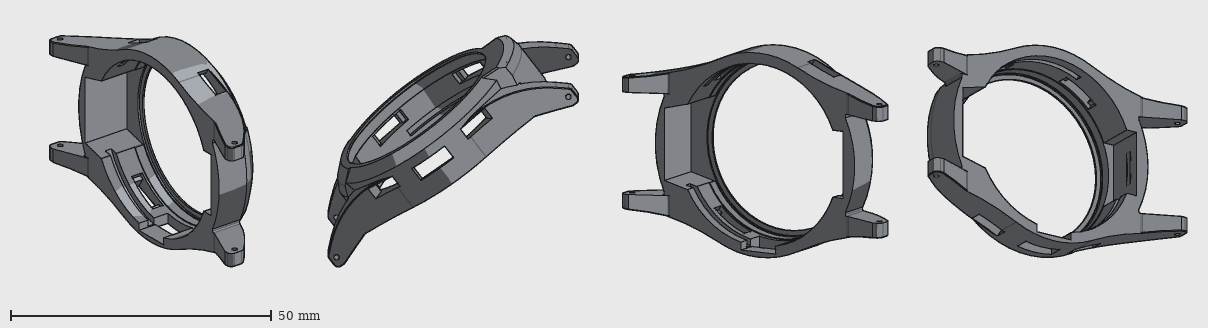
import cadquery as cq
import math


length = 58
half_length = length / 2
case_radius = 20.0
case_height = 10.85
lug_drop = 2.95

bezel_top_radius = 17.65
bezel_base_y = 8.95

flank_tangent_x = 8.7
tip_half_width = 12.9

lug_inner_z = 10.0
lug_crest_x = 11.3
lug_crest_y = 8.0
lug_arc_radius = 23.2
lug_arc_end_x = 26.8
lug_kink_x = 20.0
lug_foot_inner_x = 27.2
lug_kink_fillet = 0.85
lug_tip_fillet = 1.05
lug_foot_fillet = 1.0
lug_edge_chamfer = 0.2
corner_height = 0.7
corner_fillet = 0.3
pin_hole_radius = 0.5
pin_hole_x = 27.6
pin_hole_y = -0.9

left_radius = 23.0
left_bend_y = 8.05
left_shoulder_radius = 22.6
left_shoulder_y = 10.0
left_top_radius = 20.8
left_axis_half_z = 10.55
left_tip_half_z = 12.9
left_side_top_y = 10.55
left_side_narrowing = 3.2
left_top_narrowing = 3.65
right_radius = 21.5
right_bend_y = 6.65
right_shoulder_radius = 20.5
right_shoulder_y = 8.5
right_top_radius = 18
right_axis_half_z = 18
right_tip_half_z = 6.05
right_side_start_y = 5.8
right_top_narrowing = 3.4

bore_radius = 17.85
bore_depth = 8.0
seat_radius = 17.7
seat_depth = 10.05
lip_radius = 17.45
lip_depth = 10.45
opening_radius = 16.55

left_pocket_x = 20.95
left_pocket_outer_z = 7.1
left_pocket_inner_x = 15.95
left_pocket_inner_z = 8.35
right_pocket_x = 18.85
right_pocket_half_z = 6.55
bottom_pocket_half_x = 3.9
bottom_pocket_z = 18.95
bottom_window_start_y = 4.0
bottom_window_end_y = 6.95

window_start_y = 5.05
window_end_y = 7.55
window_angle = 57.2
window_width = 6.15
window_inner_x = 15.65
window_outer_x = 23.2
recess_width = 7.95
recess_outer_x = 18.45

groove_radius = 19.15
groove_start_y = 2.2
groove_end_y = 3.6
groove_count = 3
groove_span = 74
groove_middle_angle = -18


def plan(y):
    """Workplane parallel to the back face at height y, with local axes X and Z."""
    return cq.Workplane("XZ", origin=(0, y, 0))


def disc(radius, start_y, end_y):
    return plan(start_y).circle(radius).extrude(start_y - end_y)


def both_sides(shape, plane):
    return shape.union(shape.mirror(plane))


def revolved(profile):
    return cq.Workplane("XY").polyline(profile).close().revolve(360, (0, 0, 0), (0, 1, 0))


def case_body():
    return revolved([
        (0, 0),
        (case_radius, 0),
        (case_radius, bezel_base_y),
        (bezel_top_radius, case_height),
        (0, case_height),
    ])


def quarter_flank():
    """Upper right quarter of the case outline, beyond the inner faces of the lugs."""
    tangent_z = math.sqrt(case_radius**2 - flank_tangent_x**2)
    across, up = flank_tangent_x / case_radius, tangent_z / case_radius
    run = half_length - flank_tangent_x
    rise = tip_half_width - tangent_z
    flank_radius = (run**2 + rise**2) / (2 * (run * across + rise * up))
    center_x = flank_tangent_x + across * flank_radius
    center_z = tangent_z + up * flank_radius
    middle_x = (flank_tangent_x + half_length) / 2
    middle_z = center_z - math.sqrt(flank_radius**2 - (middle_x - center_x) ** 2)
    return (
        plan(-lug_drop)
        .moveTo(flank_tangent_x, lug_inner_z)
        .lineTo(flank_tangent_x, tangent_z)
        .threePointArc((middle_x, middle_z), (half_length, tip_half_width))
        .lineTo(half_length, lug_inner_z)
        .close()
        .extrude(-lug_drop - case_height)
    )


def lug_side():
    """Side shape of the right lug, running back into the case."""
    def crest_drop(x):
        return lug_arc_radius - math.sqrt(lug_arc_radius**2 - (x - lug_crest_x) ** 2)

    arc_middle_x = (flank_tangent_x + lug_arc_end_x) / 2
    arc_end_y = lug_crest_y - crest_drop(lug_arc_end_x)
    end_slope = (lug_arc_end_x - lug_crest_x) / (lug_arc_radius - crest_drop(lug_arc_end_x))
    tip_y = arc_end_y - end_slope * (half_length - lug_arc_end_x)
    return (
        cq.Workplane("XY")
        .moveTo(flank_tangent_x, 0)
        .lineTo(flank_tangent_x, lug_crest_y - crest_drop(flank_tangent_x))
        .threePointArc(
            (arc_middle_x, lug_crest_y - crest_drop(arc_middle_x)),
            (lug_arc_end_x, arc_end_y),
        )
        .lineTo(half_length, tip_y)
        .lineTo(half_length, lug_foot_fillet - lug_drop)
        .radiusArc((half_length - lug_foot_fillet, -lug_drop), lug_foot_fillet)
        .lineTo(lug_foot_inner_x, -lug_drop)
        .lineTo(lug_kink_x, 0)
        .close()
        .extrude(case_radius)
    )


def on_lug_rim(edge):
    """True for edges around a lug's outer face, leaving out the flat back edge and the case end."""
    on_outer_face = edge.BoundingBox().zmin > tip_half_width - 0.6
    beyond_case = edge.Center().x > flank_tangent_x + 0.6
    flat_back = abs(edge.Center().y) < lug_edge_chamfer and edge.Center().x < lug_kink_x
    return on_outer_face and beyond_case and not flat_back


def lug():
    blank = quarter_flank().intersect(lug_side())
    lug_middle_z = (lug_inner_z + tip_half_width) / 2
    tip_corner = cq.NearestToPointSelector((half_length, 0, lug_middle_z))
    kink = cq.NearestToPointSelector((lug_kink_x, 0, lug_middle_z))
    blank = blank.edges(tip_corner).fillet(lug_tip_fillet)
    outer_edges = blank.edges().filter(on_lug_rim)
    blank = blank.newObject(outer_edges.vals()).chamfer(lug_edge_chamfer)
    blank = blank.edges(kink).fillet(lug_kink_fillet)
    pin_hole = cq.Workplane("XY").center(pin_hole_x, pin_hole_y).circle(pin_hole_radius).extrude(case_radius)
    return blank.cut(pin_hole)


def corner_filling(wall_radius):
    """Small filling, hollowed by an arc, where a lug's inner face meets the end wall on the right."""
    wall_z = lug_inner_z - corner_height
    wall_x = math.sqrt(wall_radius**2 - wall_z**2)
    block = (
        plan(0)
        .moveTo(flank_tangent_x, wall_z)
        .lineTo(wall_x, wall_z)
        .lineTo(wall_x, lug_inner_z - corner_fillet)
        .radiusArc((wall_x + corner_fillet, lug_inner_z), corner_fillet)
        .lineTo(flank_tangent_x, lug_inner_z)
        .close()
        .extrude(-case_height)
    )
    return block.intersect(lug_side())


def end_wall(profile, axis_half_z, tip_half_z, levels):
    """Bulge on the right: a turned shape kept between two sloping sides.

    The sides run straight from axis_half_z at x = 0 to tip_half_z at the lug tips.
    levels lists (y, narrowing) for the sections that are joined by flat faces.
    """
    wall = revolved(profile)
    kept = cq.Workplane("XZ")
    for (low_y, low_narrowing), (high_y, high_narrowing) in zip(levels, levels[1:]):
        block = plan(low_y)
        for narrowing, rise in ((low_narrowing, 0), (high_narrowing, high_y - low_y)):
            axis_z = axis_half_z - narrowing
            tip_z = tip_half_z - narrowing
            outline = [(0, -axis_z), (half_length, -tip_z), (half_length, tip_z), (0, axis_z)]
            block = block.workplane(offset=-rise).polyline(outline).close()
        kept = kept.union(block.loft(ruled=True))
    return wall.intersect(kept)


def left_end():
    profile = [
        (0, 0),
        (left_radius, 0),
        (left_radius, left_bend_y),
        (left_shoulder_radius, left_shoulder_y),
        (left_top_radius, case_height),
        (0, case_height),
    ]
    levels = [
        (0, 0),
        (left_side_top_y, left_side_narrowing),
        (case_height, left_top_narrowing),
    ]
    return end_wall(profile, left_axis_half_z, left_tip_half_z, levels).mirror("YZ")


def right_end():
    profile = [
        (0, 0),
        (right_radius, 0),
        (right_radius, right_bend_y),
        (right_shoulder_radius, right_shoulder_y),
        (right_top_radius, case_height),
        (0, case_height),
    ]
    levels = [(0, 0), (right_side_start_y, 0), (case_height, right_top_narrowing)]
    return end_wall(profile, right_axis_half_z, right_tip_half_z, levels)


def bore():
    return (
        disc(bore_radius, 0, bore_depth)
        .union(disc(seat_radius, 0, seat_depth))
        .union(disc(lip_radius, 0, lip_depth))
        .union(disc(opening_radius, 0, case_height))
    )


def pockets():
    left_outline = [
        (0, left_pocket_inner_z),
        (-left_pocket_inner_x, left_pocket_inner_z),
        (-left_pocket_x, left_pocket_outer_z),
        (-left_pocket_x, -left_pocket_outer_z),
        (-left_pocket_inner_x, -left_pocket_inner_z),
        (0, -left_pocket_inner_z),
    ]
    left = plan(0).polyline(left_outline).close().extrude(-seat_depth)
    right = plan(0).rect(2 * right_pocket_x, 2 * right_pocket_half_z).extrude(-bore_depth)
    right = right.intersect(cq.Workplane("XY").box(length, length, length, centered=(False, True, True)))
    bottom = (
        plan(0)
        .center(0, -bottom_pocket_z / 2)
        .rect(2 * bottom_pocket_half_x, bottom_pocket_z)
        .extrude(-bottom_window_end_y)
    )
    window = (
        plan(bottom_window_start_y)
        .center(0, -case_radius / 2)
        .rect(2 * bottom_pocket_half_x, case_radius)
        .extrude(bottom_window_start_y - bottom_window_end_y)
    )
    return left.union(right).union(bottom).union(window)


def ring_sector(radius, start_y, end_y, middle_angle, span):
    """Slice of a disc centered on an angle measured from +X toward +Z, in degrees."""
    half_span = math.radians(span / 2)
    tip_z = case_radius * math.tan(half_span)
    wedge = plan(start_y).polyline([(0, 0), (case_radius, tip_z), (case_radius, -tip_z)]).close()
    slice_at_x = wedge.extrude(start_y - end_y).intersect(disc(radius, start_y, end_y))
    return slice_at_x.rotate((0, 0, 0), (0, -1, 0), middle_angle)


def flank_windows():
    """Four windows, each with a wider recess around it inside the bore."""
    def slot(width, outer_x):
        return (
            plan(window_start_y)
            .moveTo((window_inner_x + outer_x) / 2, 0)
            .rect(outer_x - window_inner_x, width)
            .extrude(window_start_y - window_end_y)
            .rotate((0, 0, 0), (0, -1, 0), window_angle)
        )

    window = slot(window_width, window_outer_x).union(slot(recess_width, recess_outer_x))
    return both_sides(both_sides(window, "YZ"), "XY")


def bayonet_grooves():
    grooves = cq.Workplane("XZ")
    for number in range(groove_count):
        angle = groove_middle_angle + number * 360 / groove_count
        grooves = grooves.union(ring_sector(groove_radius, groove_start_y, groove_end_y, angle, groove_span))
    return grooves


right_lug = lug()
lugs = both_sides(both_sides(right_lug, "YZ"), "XY")
fillings = corner_filling(right_radius).union(corner_filling(left_radius).mirror("YZ"))

result = case_body().union(left_end()).union(right_end()).union(lugs)
result = result.union(both_sides(fillings, "XY"))
result = result.cut(bore()).cut(pockets()).cut(flank_windows()).cut(bayonet_grooves())